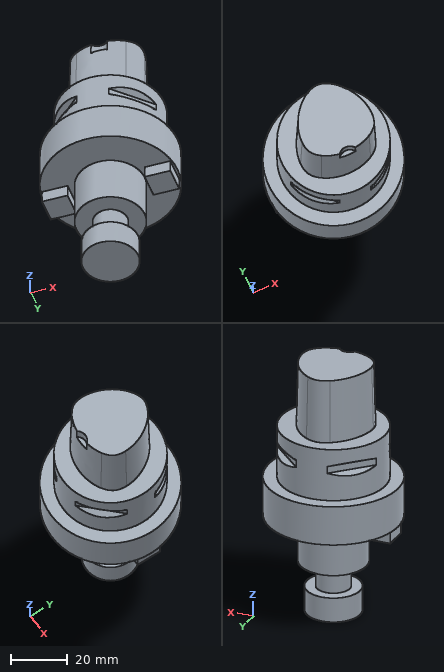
import cadquery as cq
import math


SHANK_HEIGHT = 24.0
SHANK_BASE_DIAMETER = 28.1
SHANK_TAPER = 1 / 20
LOBE_HEIGHT = 0.95
LOBES = 3
LOBE_DIRECTION = 90.0
SPLINE_STEPS = 10

NOTCH_RADIUS = 3.8
NOTCH_REACH = 10.8
NOTCH_DEPTH = 4.1

GRIP_DIAMETER, GRIP_LENGTH = 40.0, 20.0
FLANGE_DIAMETER, FLANGE_LENGTH = 50.0, 15.0
PILOT_DIAMETER, PILOT_LENGTH = 25.4, 18.0
NECK_DIAMETER, NECK_LENGTH = 12.7, 10.0
HEAD_DIAMETER, HEAD_LENGTH = 20.6, 9.5

SLOT_COUNT = 4
SLOT_START_ANGLE = 45.0
SLOT_Z = -8.0
SLOT_FLOOR_DISTANCE = 17.7
SLOT_FLOOR_WIDTH = 2.6
SLOT_FLANK_ANGLE = 30.0

KEY_WIDTH = 9.6
KEY_LENGTH = 9.6
KEY_HEIGHT = 4.8
KEY_OUTER_REACH = 24.0

FLANGE_BOTTOM_Z = -(GRIP_LENGTH + FLANGE_LENGTH)


def lobed_wire(mean_diameter, z):
    """Constant-width lobed outline, split where each lobe meets its flanks."""

    def point_at(degrees):
        normal = math.radians(degrees)
        phase = math.radians(LOBES * (degrees - LOBE_DIRECTION))
        reach = mean_diameter / 2 + LOBE_HEIGHT * math.cos(phase)
        slide = -LOBES * LOBE_HEIGHT * math.sin(phase)
        x = reach * math.cos(normal) - slide * math.sin(normal)
        y = reach * math.sin(normal) + slide * math.cos(normal)
        return cq.Vector(x, y, z)

    stretch = 180 / LOBES
    first = LOBE_DIRECTION - stretch / 2
    edges = []
    for index in range(2 * LOBES):
        start = first + index * stretch
        points = [point_at(start + stretch * step / SPLINE_STEPS) for step in range(SPLINE_STEPS + 1)]
        edges.append(cq.Edge.makeSpline(points))
    return cq.Wire.assembleEdges(edges)


def make_shank():
    top_diameter = SHANK_BASE_DIAMETER - SHANK_TAPER * SHANK_HEIGHT
    base = lobed_wire(SHANK_BASE_DIAMETER, 0)
    top = lobed_wire(top_diameter, SHANK_HEIGHT)
    shank = cq.Workplane(cq.Solid.makeLoft([base, top], True))
    notch = (
        cq.Workplane("XY", origin=(0, -(NOTCH_REACH + NOTCH_RADIUS), SHANK_HEIGHT))
        .circle(NOTCH_RADIUS)
        .extrude(-NOTCH_DEPTH)
    )
    return shank.cut(notch)


def make_turned_body():
    sections = [
        (GRIP_DIAMETER, GRIP_LENGTH),
        (FLANGE_DIAMETER, FLANGE_LENGTH),
        (PILOT_DIAMETER, PILOT_LENGTH),
        (NECK_DIAMETER, NECK_LENGTH),
        (HEAD_DIAMETER, HEAD_LENGTH),
    ]
    body = cq.Workplane("XY")
    top_z = 0
    for diameter, length in sections:
        section = cq.Workplane("XY", origin=(0, 0, top_z)).circle(diameter / 2).extrude(-length)
        body = body.union(section)
        top_z -= length
    return body


def slot_cutter():
    """Bar along Y whose section widens outward from the slot floor."""
    grip_radius = GRIP_DIAMETER / 2
    flare = (grip_radius - SLOT_FLOOR_DISTANCE) * math.tan(math.radians(SLOT_FLANK_ANGLE))
    half_floor = SLOT_FLOOR_WIDTH / 2
    half_mouth = half_floor + flare
    return (
        cq.Workplane("XZ")
        .polyline([
            (SLOT_FLOOR_DISTANCE, SLOT_Z - half_floor),
            (grip_radius, SLOT_Z - half_mouth),
            (grip_radius, SLOT_Z + half_mouth),
            (SLOT_FLOOR_DISTANCE, SLOT_Z + half_floor),
        ])
        .close()
        .extrude(grip_radius, both=True)
    )


def cut_slots(body):
    for index in range(SLOT_COUNT):
        angle = SLOT_START_ANGLE + index * 360 / SLOT_COUNT
        body = body.cut(slot_cutter().rotate((0, 0, 0), (0, 0, 1), angle))
    return body


def add_keys(body):
    for side in (-1, 1):
        key_center_x = side * (KEY_OUTER_REACH - KEY_LENGTH / 2)
        key = (
            cq.Workplane("XY", origin=(key_center_x, 0, FLANGE_BOTTOM_Z))
            .rect(KEY_LENGTH, KEY_WIDTH)
            .extrude(-KEY_HEIGHT)
        )
        body = body.union(key)
    return body


grip_body = cut_slots(make_turned_body())
result = add_keys(grip_body).union(make_shank())